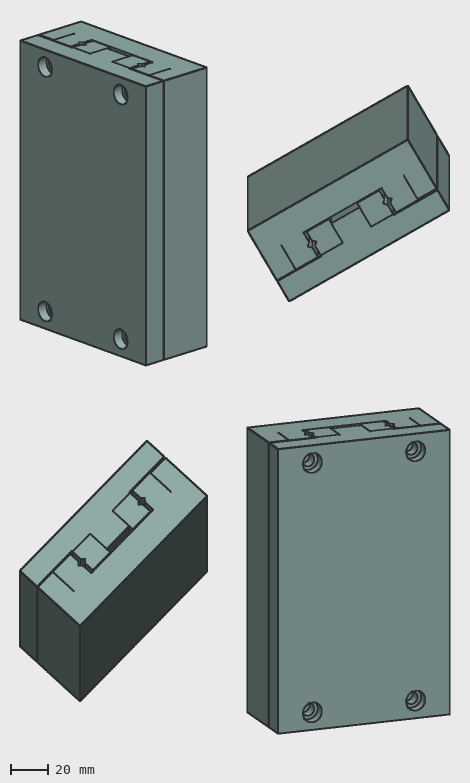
import cadquery as cq

width = 100.0
depth = 45.0
length = 160.0
edge_chamfer = 0.25

base_thickness = 13.1
rail_seat = 13.5
table_underside = rail_seat
relief_level = 14.0
v_level = 21.1
tongue_top = 25.8
rail_top = 28.5
channel_roof = 29.0

tongue_half_width = 8.8
rail_outer = 22.5
channel_half_width = 24.3
slit_offset = 38.1
slit_width = 0.08

v_depth = 1.8

hole_spacing_x = 60.0
hole_spacing_z = 140.0
bore_diameter = 7.0
counterbore_diameter = 11.0
counterbore_depth = 6.1

front_face = -depth / 2


def block(x_from, x_to, level_from, level_to):
    """Full-length block between two X positions and two levels above the mounting face."""
    return (
        cq.Workplane("XY")
        .box(x_to - x_from, level_to - level_from, length, centered=(False, False, True))
        .translate((x_from, front_face + level_from, 0))
    )


def raceway(x):
    """Square prism on edge whose corner cuts a V groove into the flat side at x."""
    return (
        cq.Workplane("XY")
        .polyline([
            (x - v_depth, front_face + v_level),
            (x, front_face + v_level - v_depth),
            (x + v_depth, front_face + v_level),
            (x, front_face + v_level + v_depth),
        ])
        .close()
        .extrude(length / 2, both=True)
    )


def make_base():
    """Base plate with rail seat, central tongue and counterbored mounting holes."""
    plate = block(-width / 2, width / 2, 0, base_thickness).edges().chamfer(edge_chamfer)
    seat = block(-rail_outer, rail_outer, base_thickness / 2, rail_seat)
    tongue = block(-tongue_half_width, tongue_half_width, base_thickness / 2, tongue_top)
    return (
        plate.union(seat)
        .union(tongue)
        .faces("<Y")
        .workplane(centerOption="CenterOfBoundBox")
        .rect(hole_spacing_x, hole_spacing_z, forConstruction=True)
        .vertices()
        .cboreHole(bore_diameter, counterbore_diameter, counterbore_depth)
    )


def make_table():
    """Table with a central channel, outer raceways, slits and a relieved flange."""
    blank = block(-width / 2, width / 2, table_underside, depth)
    table = blank.edges("not <Y").chamfer(edge_chamfer)
    table = table.cut(block(-channel_half_width, channel_half_width, table_underside, channel_roof))
    table = table.cut(block(-width / 2, -slit_offset, table_underside, relief_level))
    for side in (-1, 1):
        slit_middle = side * slit_offset
        slit = block(
            slit_middle - slit_width / 2, slit_middle + slit_width / 2, table_underside, channel_roof
        )
        table = table.cut(slit).cut(raceway(side * channel_half_width))
    return table


def make_rail(side):
    """Inner rail beside the tongue, with a V raceway in its outer side."""
    x_from, x_to = sorted((side * tongue_half_width, side * rail_outer))
    rail = block(x_from, x_to, rail_seat, rail_top)
    return rail.cut(raceway(side * rail_outer))


base = make_base()
table = make_table()
inner_rails = [make_rail(side) for side in (-1, 1)]

result = cq.Compound.makeCompound([base.val(), table.val(), *[rail.val() for rail in inner_rails]])